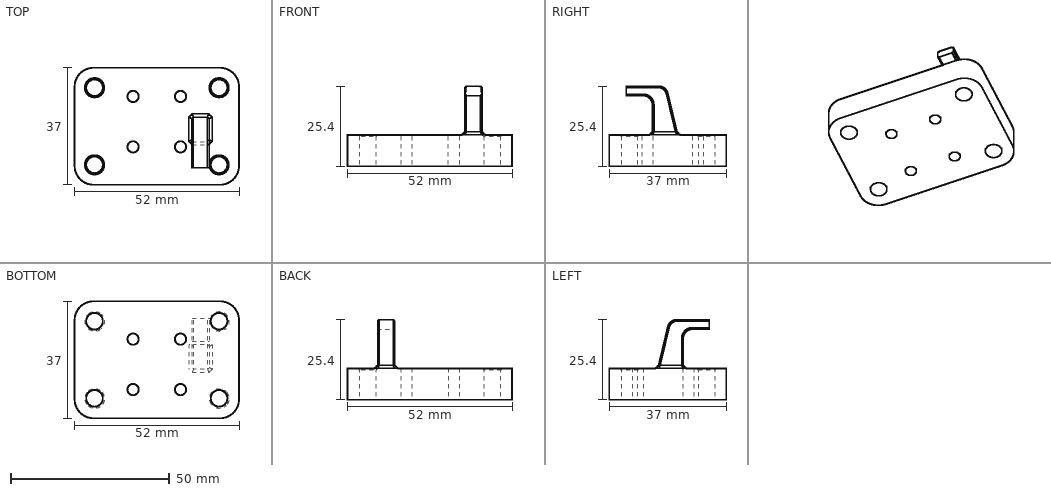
import cadquery as cq
import math

plate_length = 52.0
plate_width = 37.0
plate_height = 10.0
corner_radius = 6.1

mount_spacing_x = 39.3
mount_spacing_y = 24.35
mount_diameter = 5.2
countersink_diameter = 6.2
countersink_angle = 90.0

pin_diameter = 3.5
pin_spacing_x = 15.0
pin_spacing_y = 15.9
pin_centre = (0.0, 1.45)

overall_height = 25.4
hook_x = 13.8
hook_width = 5.4
hook_chamfer = 0.5
upright_front_y = -4.85
upright_back_y = 2.9
back_slope = 13.4
arm_end_y = -13.15
arm_thickness = 3.0
bend_radius = 3.0

foot_height = 1.0
foot_angle = 45.0


def make_plate():
    plate = (
        cq.Workplane("XY")
        .box(plate_length, plate_width, plate_height, centered=(True, True, False))
        .edges("|Z")
        .fillet(corner_radius)
    )
    plate = (
        plate.faces(">Z")
        .workplane(origin=(0, 0, plate_height))
        .rarray(mount_spacing_x, mount_spacing_y, 2, 2)
        .cskHole(mount_diameter, countersink_diameter, countersink_angle)
    )
    return (
        plate.faces(">Z")
        .workplane(origin=(*pin_centre, plate_height))
        .rarray(pin_spacing_x, pin_spacing_y, 2, 2)
        .hole(pin_diameter)
    )


def back_y(z):
    """Y of the sloping back face at height z."""
    rise = z - plate_height - foot_height
    return upright_back_y - rise * math.tan(math.radians(back_slope))


def make_hook():
    root_z = plate_height - foot_height
    arm_bottom_z = overall_height - arm_thickness
    hook = (
        cq.Workplane("YZ", origin=(hook_x, 0, 0))
        .polyline([
            (upright_front_y, root_z),
            (upright_front_y, arm_bottom_z),
            (arm_end_y, arm_bottom_z),
            (arm_end_y, overall_height),
            (back_y(overall_height), overall_height),
            (back_y(root_z), root_z),
        ])
        .close()
        .extrude(hook_width / 2, both=True)
    )

    inner_bend = cq.NearestToPointSelector((hook_x, upright_front_y, arm_bottom_z))
    outer_bend = cq.NearestToPointSelector((hook_x, back_y(overall_height), overall_height))
    hook = hook.edges(inner_bend).fillet(bend_radius)
    hook = hook.edges(outer_bend).fillet(bend_radius)

    side_edges = hook.faces("<X or >X").edges()
    end_edges = hook.faces("<Y or <Z").edges()
    return side_edges.newObject(
        [edge for edge in side_edges.vals() if not any(edge.isSame(end) for end in end_edges.vals())]
    ).chamfer(hook_chamfer)


def make_foot():
    flare = foot_height * math.tan(math.radians(foot_angle))
    depth = upright_back_y - upright_front_y + 2 * flare
    corner_cut = hook_chamfer + flare * (2 - math.sqrt(2))
    middle_y = (upright_back_y + upright_front_y) / 2
    half_x = hook_width / 2 + flare
    half_y = depth / 2
    return (
        cq.Workplane("XY", origin=(hook_x, middle_y, plate_height))
        .polyline([
            (half_x, half_y - corner_cut),
            (half_x - corner_cut, half_y),
            (corner_cut - half_x, half_y),
            (-half_x, half_y - corner_cut),
            (-half_x, corner_cut - half_y),
            (corner_cut - half_x, -half_y),
            (half_x - corner_cut, -half_y),
            (half_x, corner_cut - half_y),
        ])
        .close()
        .extrude(foot_height, taper=foot_angle)
    )


result = make_plate().union(make_foot()).union(make_hook())